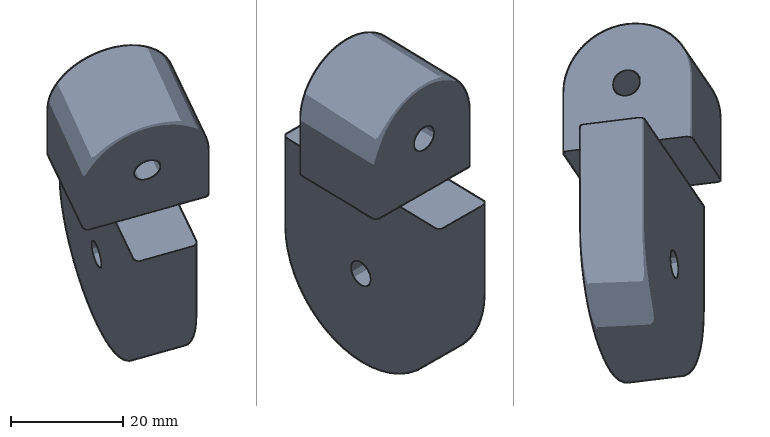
import cadquery as cq

lower_width = 40.0
upper_width = 24.0
lower_thickness = upper_width / 2
upper_thickness = lower_width / 2
hole_diameter = 5.0
edge_radius = 1.0


def make_lug(width, thickness):
    """Lug standing on Z = 0, as tall as wide, with its flat faces toward -Y and +Y."""
    half_width = width / 2
    lug = (
        cq.Workplane("XZ")
        .moveTo(-half_width, 0)
        .lineTo(-half_width, half_width)
        .threePointArc((0, width), (half_width, half_width))
        .lineTo(half_width, 0)
        .close()
        .extrude(thickness / 2, both=True)
    )
    lug = lug.faces("<Y or >Y").edges("not <Z").fillet(edge_radius)
    hole = (
        cq.Workplane("XZ")
        .center(0, half_width)
        .circle(hole_diameter / 2)
        .extrude(thickness, both=True)
    )
    return lug.cut(hole)


lower_lug = make_lug(lower_width, lower_thickness).rotate((0, 0, 0), (0, 1, 0), 180)

upper_lug = make_lug(upper_width, upper_thickness).rotate((0, 0, 0), (0, 0, 1), 90)

result = lower_lug.union(upper_lug)